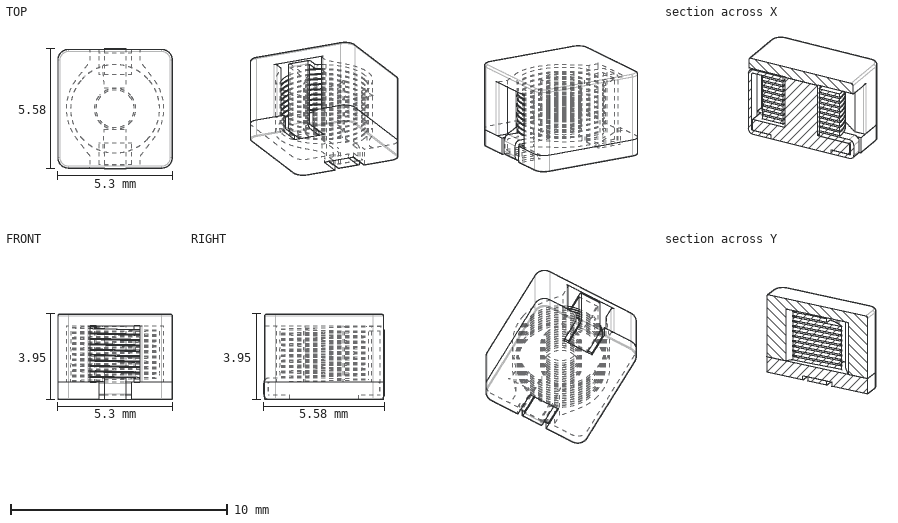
import cadquery as cq
import math

body_width = 5.3
body_length = 5.5
body_height = 3.95
corner_radius = 0.5
top_edge_radius = 0.1
bottom_edge_radius = 0.04

base_height = 0.8
post_diameter = 1.75
roof_underside = 3.4
chamber_radius = 2.25
chamber_corner = 2.2
channel_width = 2.3
channel_lip_radius = 0.1

wire_thickness = 0.2
coil_inner_radius = 0.95
coil_outer_radius = 2.05
coil_pitch = 0.25
coil_turns = 9.5
coil_bottom = base_height

terminal_width = 1.0
terminal_overhang = 0.04
terminal_bend_radius = 0.25
terminal_foot_length = 1.2
lead_fillet_radius = 0.11

slot_width = 1.5
slot_depth = 0.18
slot_edge_radius = 0.05

half_length = body_length / 2
terminal_face = half_length + terminal_overhang
foot_end = terminal_face - terminal_foot_length
coil_rise = coil_pitch * coil_turns


def rounded_block(bottom, height):
    """Block with the outline shared by base and cover."""
    block = cq.Workplane("XY").workplane(offset=bottom).rect(body_width, body_length).extrude(height)
    return block.edges("|Z").fillet(corner_radius)


def terminal_slot():
    """Cutter on the -Y side: recess in the side wall that turns in under the base."""
    wall = -half_length + slot_depth
    foot_roof = wire_thickness
    r = slot_edge_radius
    mid = r * (1 - math.sqrt(0.5))
    profile = (
        cq.Workplane("YZ")
        .moveTo(-terminal_face, base_height)
        .lineTo(wall + r, base_height)
        .threePointArc((wall + mid, base_height - mid), (wall, base_height - r))
        .lineTo(wall, foot_roof + r)
        .threePointArc((wall + mid, foot_roof + mid), (wall + r, foot_roof))
        .lineTo(-foot_end, foot_roof)
        .lineTo(-foot_end, 0)
        .lineTo(-terminal_face, 0)
        .close()
    )
    return profile.extrude(slot_width / 2, both=True)


def make_base():
    base = rounded_block(0, base_height).faces("<Z").edges().fillet(bottom_edge_radius)
    post_height = roof_underside - base_height
    post = cq.Workplane("XY").workplane(offset=base_height).circle(post_diameter / 2).extrude(post_height)
    base = base.union(post)
    front_slot = terminal_slot()
    return base.cut(front_slot).cut(front_slot.mirror("XZ"))


def make_chamber(bottom, height):
    """Round chamber whose wall runs off along tangents to meet the channel at both ends."""
    corner_x = channel_width / 2
    corner_y = chamber_corner
    corner_angle = math.atan2(corner_y, corner_x)
    tangent_angle = corner_angle - math.acos(chamber_radius / math.hypot(corner_x, corner_y))
    tangent_x = chamber_radius * math.cos(tangent_angle)
    tangent_y = chamber_radius * math.sin(tangent_angle)
    return (
        cq.Workplane("XY")
        .workplane(offset=bottom)
        .moveTo(corner_x, -corner_y)
        .lineTo(tangent_x, -tangent_y)
        .threePointArc((chamber_radius, 0), (tangent_x, tangent_y))
        .lineTo(corner_x, corner_y)
        .lineTo(-corner_x, corner_y)
        .lineTo(-tangent_x, tangent_y)
        .threePointArc((-chamber_radius, 0), (-tangent_x, -tangent_y))
        .lineTo(-corner_x, -corner_y)
        .close()
        .extrude(height)
    )


def make_cover():
    cover = rounded_block(base_height, body_height - base_height).faces(">Z").edges().fillet(top_edge_radius)
    depth = roof_underside - base_height
    channel = cq.Workplane("XY").workplane(offset=base_height).rect(channel_width, body_length).extrude(depth)
    cover = cover.cut(make_chamber(base_height, depth)).cut(channel)
    mouth_edges = [
        (side * channel_width / 2, end * half_length, base_height + depth / 2)
        for side in (-1, 1)
        for end in (-1, 1)
    ]
    for point in mouth_edges:
        cover = cover.edges(cq.NearestToPointSelector(point)).fillet(channel_lip_radius)
    return cover


def make_winding():
    """Edge-wound helix that climbs clockwise from -Y to +Y."""
    mean_radius = (coil_inner_radius + coil_outer_radius) / 2
    wire_width = coil_outer_radius - coil_inner_radius
    path = cq.Workplane(cq.Wire.makeHelix(coil_pitch, coil_rise, mean_radius, lefthand=True))
    section = cq.Workplane("XZ").center(mean_radius, 0).rect(wire_width, wire_thickness)
    winding = section.sweep(path, isFrenet=True)
    quarter_turn = -90
    winding = winding.rotate((0, 0, 0), (0, 0, 1), quarter_turn)
    return winding.translate((0, 0, coil_bottom + wire_thickness / 2))


def make_lead(underside):
    """Flat lead on the -Y side, from the inner edge of the winding to the bend of its strap."""
    side = terminal_width / 2
    r = lead_fillet_radius
    centre_x = -side - r
    centre_y = -math.sqrt((coil_outer_radius + r) ** 2 - centre_x ** 2)
    to_winding = coil_outer_radius / (coil_outer_radius + r)
    tangent = (centre_x * to_winding, centre_y * to_winding)
    start = math.atan2(tangent[1] - centre_y, tangent[0] - centre_x)
    middle = (centre_x + r * math.cos(start / 2), centre_y + r * math.sin(start / 2))
    return (
        cq.Workplane("XY")
        .workplane(offset=underside)
        .moveTo(side, -coil_inner_radius)
        .lineTo(side, -terminal_face + terminal_bend_radius)
        .lineTo(-side, -terminal_face + terminal_bend_radius)
        .lineTo(-side, centre_y)
        .threePointArc(middle, tangent)
        .lineTo(-side, -coil_inner_radius)
        .close()
        .extrude(wire_thickness)
    )


def make_strap(underside):
    """Strap on the -Y side: bends down from the lead and then in under the base."""
    top = underside + wire_thickness
    bend = terminal_bend_radius
    bend_start = -terminal_face + bend
    outer_arc = bend * math.sqrt(0.5)
    inner_arc = (bend - wire_thickness) * math.sqrt(0.5)
    inner_face = -terminal_face + wire_thickness
    profile = (
        cq.Workplane("YZ")
        .moveTo(bend_start, top)
        .threePointArc((bend_start - outer_arc, top - bend + outer_arc), (-terminal_face, top - bend))
        .lineTo(-terminal_face, bend)
        .threePointArc((bend_start - outer_arc, bend - outer_arc), (bend_start, 0))
        .lineTo(-foot_end, 0)
        .lineTo(-foot_end, wire_thickness)
        .lineTo(bend_start, wire_thickness)
        .threePointArc((bend_start - inner_arc, bend - inner_arc), (inner_face, bend))
        .lineTo(inner_face, top - bend)
        .threePointArc((bend_start - inner_arc, top - bend + inner_arc), (bend_start, underside))
        .close()
    )
    return profile.extrude(terminal_width / 2, both=True)


def make_terminal(underside):
    return make_lead(underside).union(make_strap(underside))


def make_coil():
    front_terminal = make_terminal(coil_bottom)
    back_terminal = make_terminal(coil_bottom + coil_rise).mirror("XZ")
    return make_winding().union(front_terminal).union(back_terminal)


base = make_base()
cover = make_cover()
coil = make_coil()

result = cq.Compound.makeCompound([base.val(), cover.val(), coil.val()])